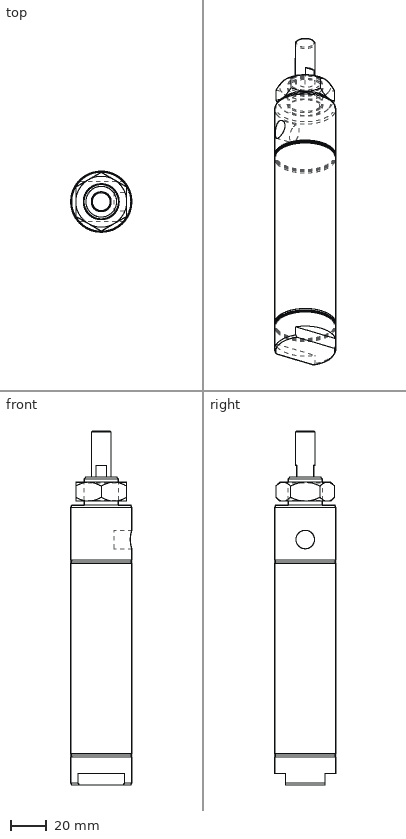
import cadquery as cq
import math

overall_length = 196.85
rod_length = 25.4
body_diameter = 34.04
body_length = 155.7
end_chamfer_radial = 0.6
end_chamfer_height = 1.2

neck_top = overall_length - rod_length
neck_diameter = 19.05
neck_chamfer_radial = 1.0
neck_chamfer_height = 1.2

tooth_height = 0.95
tooth_depth = 0.6
teeth_per_joint = 2
front_joint_shoulder = 125.15
rear_joint_shoulder = 15.75

rear_flat_length = 6.4
rear_flat_width = 22.2

port_diameter = 10.29
port_depth = 10.0
port_height = 136.6

rod_diameter = 11.11
rod_chamfer = 0.6
rod_flat_width = 9.525
rod_flat_height = 6.35

nut_sides = 6
nut_across_flats = 28.3
nut_across_corners = nut_across_flats / math.cos(math.pi / nut_sides)
nut_thickness = 10.6
nut_base = 157.9
nut_countersink = 0.5


def flats_cutter(diameter, across_flats, bottom, height):
    """Blocks that leave parallel flats facing -Y and +Y on a round bar."""
    outside = cq.Workplane("XY").workplane(offset=bottom).rect(diameter * 2, diameter * 2).extrude(height)
    kept = cq.Workplane("XY").workplane(offset=bottom).rect(diameter * 2, across_flats).extrude(height)
    return outside.cut(kept)


def tooth_groove(shoulder, direction):
    """Ring cut with a flat shoulder that tapers out to the surface; direction is +1 up or -1 down."""
    radius = body_diameter / 2
    return (
        cq.Workplane("XZ")
        .moveTo(radius, shoulder)
        .lineTo(radius - tooth_depth, shoulder)
        .lineTo(radius, shoulder + direction * tooth_height)
        .close()
        .revolve(360, (0, 0, 0), (0, 1, 0))
    )


def make_body():
    """Cylinder body with its end caps and threaded neck."""
    radius = body_diameter / 2
    end_radius = radius - end_chamfer_radial
    neck_radius = neck_diameter / 2
    body = (
        cq.Workplane("XZ")
        .moveTo(0, 0)
        .lineTo(end_radius, 0)
        .lineTo(radius, end_chamfer_height)
        .lineTo(radius, body_length - end_chamfer_height)
        .lineTo(end_radius, body_length)
        .lineTo(neck_radius, body_length)
        .lineTo(neck_radius, neck_top - neck_chamfer_height)
        .lineTo(neck_radius - neck_chamfer_radial, neck_top)
        .lineTo(0, neck_top)
        .close()
        .revolve(360, (0, 0, 0), (0, 1, 0))
    )
    for joint_shoulder, direction in ((front_joint_shoulder, -1), (rear_joint_shoulder, 1)):
        for tooth in range(teeth_per_joint):
            shoulder = joint_shoulder + direction * tooth * tooth_height
            body = body.cut(tooth_groove(shoulder, direction))
    body = body.cut(flats_cutter(body_diameter, rear_flat_width, 0, rear_flat_length))
    port = (
        cq.Workplane("YZ")
        .workplane(offset=radius - port_depth)
        .center(0, port_height)
        .circle(port_diameter / 2)
        .extrude(port_depth)
    )
    return body.cut(port)


def make_rod():
    """Piston rod standing on the neck face, with wrench flats at its foot."""
    rod = (
        cq.Workplane("XY")
        .workplane(offset=neck_top)
        .circle(rod_diameter / 2)
        .extrude(rod_length)
        .faces(">Z")
        .chamfer(rod_chamfer)
    )
    return rod.cut(flats_cutter(rod_diameter, rod_flat_width, neck_top, rod_flat_height))


def make_nut():
    """Hexagon nut on the neck, corners pointing along Y and chamfered on both faces."""
    hexagon = (
        cq.Workplane("XY")
        .workplane(offset=nut_base)
        .transformed(rotate=(0, 0, 90))
        .polygon(nut_sides, nut_across_corners)
        .extrude(nut_thickness)
    )
    corner_chamfer = (nut_across_corners - nut_across_flats) / 2
    envelope = (
        cq.Workplane("XY")
        .workplane(offset=nut_base)
        .circle(nut_across_corners / 2)
        .extrude(nut_thickness)
        .faces("<Z or >Z")
        .chamfer(corner_chamfer)
    )
    neck_hole = (
        cq.Workplane("XY")
        .workplane(offset=nut_base)
        .circle(neck_diameter / 2)
        .extrude(nut_thickness)
    )
    nut = hexagon.intersect(envelope).cut(neck_hole)
    hole_rims = cq.selectors.RadiusNthSelector(0)
    return nut.edges("%CIRCLE").edges(hole_rims).chamfer(nut_countersink)


body = make_body()
rod = make_rod()
nut = make_nut()

result = cq.Compound.makeCompound([body.val(), rod.val(), nut.val()])